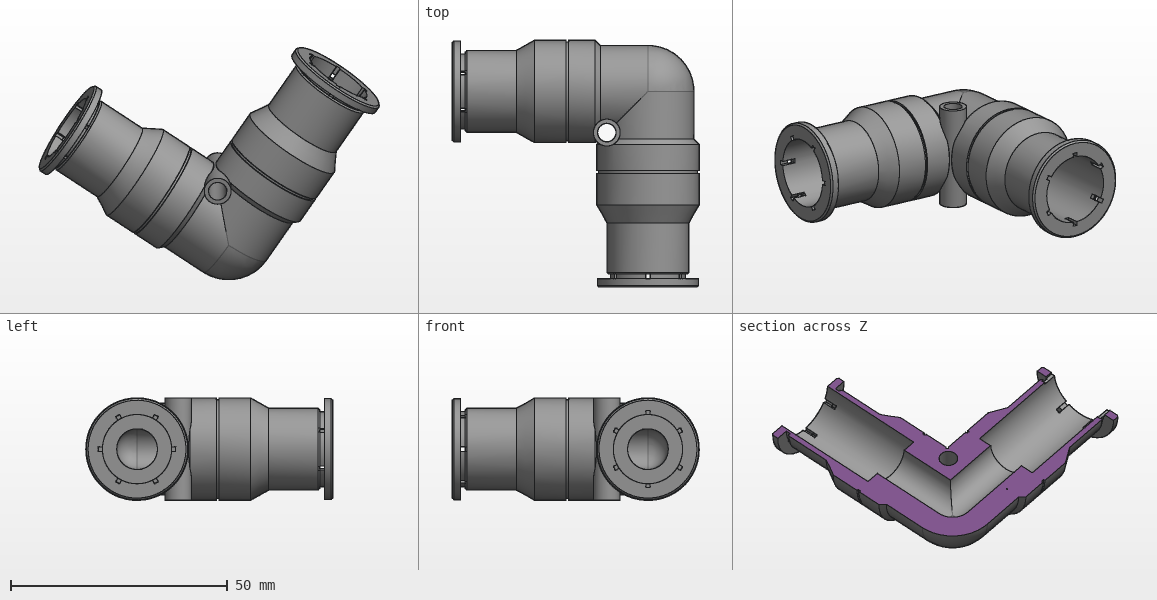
import cadquery as cq

corner_to_face = 45.2

flange_end = 1.95
sleeve_start = 3.0
cone_start = 14.8
cone_end = 19.0
groove_start = 26.3
groove_end = 26.9
collar_chamfer_start = 33.0
collar_end = 34.2

flange_diameter = 23.4
flange_chamfer = 0.4
neck_diameter = 17.4
sleeve_diameter = 18.96
sleeve_chamfer = 0.4
collar_diameter = 23.7
groove_depth = 0.4
elbow_diameter = collar_diameter - 2 * (collar_end - collar_chamfer_start)

socket_diameter = 16.0
socket_depth = groove_start
passage_diameter = 9.4

slot_count = 6
slot_width = 1.0
slot_outer_radius = 8.9
slot_depth = 3.4

post_diameter = 6.2
post_hole_diameter = 4.2
post_height = collar_diameter
post_offset = 9.5


def corner_body(diameter):
    """Two mitred cylinders from the corner to the collar ends, closed by a quarter ball outside."""
    length = corner_to_face - collar_end
    radius = diameter / 2
    x_leg = cq.Workplane("YZ").circle(radius).extrude(-length)
    y_leg = cq.Workplane("XZ").circle(radius).extrude(length)
    half_disc = cq.Workplane("XZ").moveTo(0, -radius).threePointArc((radius, 0), (0, radius)).close()
    quarter_ball = half_disc.revolve(90, (0, 0, 0), (0, 1, 0))
    return x_leg.union(y_leg).union(quarter_ball)


def arm_shell():
    """Solid of revolution of the -X arm: flange, neck, sleeve, cone and grooved collar."""
    flange_radius = flange_diameter / 2
    neck_radius = neck_diameter / 2
    sleeve_radius = sleeve_diameter / 2
    collar_radius = collar_diameter / 2
    groove_radius = collar_radius - groove_depth
    profile = [
        (0, 0),
        (0, flange_radius - flange_chamfer),
        (flange_chamfer, flange_radius),
        (flange_end, flange_radius),
        (flange_end, neck_radius),
        (sleeve_start, neck_radius),
        (sleeve_start, sleeve_radius - sleeve_chamfer),
        (sleeve_start + sleeve_chamfer, sleeve_radius),
        (cone_start, sleeve_radius),
        (cone_end, collar_radius),
        (groove_start, collar_radius),
        (groove_start, groove_radius),
        (groove_end, groove_radius),
        (groove_end, collar_radius),
        (collar_chamfer_start, collar_radius),
        (collar_end, elbow_diameter / 2),
        (collar_end, 0),
    ]
    shell = cq.Workplane("XY").polyline(profile).close().revolve(360, (0, 0, 0), (1, 0, 0))
    return shell.translate((-corner_to_face, 0, 0))


def arm_cavity():
    """Tube socket of the -X arm, its collet slots and the passage on to the corner."""
    face = cq.Workplane("YZ", origin=(-corner_to_face, 0, 0))
    cavity = face.circle(socket_diameter / 2).extrude(socket_depth)
    cavity = cavity.union(face.circle(passage_diameter / 2).extrude(corner_to_face))
    slot = (
        cq.Workplane("XY")
        .box(slot_depth, slot_outer_radius, slot_width, centered=(False, False, True))
        .translate((-corner_to_face, 0, 0))
    )
    for index in range(slot_count):
        cavity = cavity.union(slot.rotate((0, 0, 0), (1, 0, 0), index * 360 / slot_count))
    return cavity


def y_arm(x_arm):
    """The same arm along -Y, turned a quarter about its axis so two slots face up and down."""
    quarter_turn = 90
    rolled_arm = x_arm.rotate((0, 0, 0), (1, 0, 0), quarter_turn)
    return rolled_arm.rotate((0, 0, 0), (0, 0, 1), quarter_turn)


def post(diameter):
    """Vertical cylinder in the inside of the corner."""
    base = cq.Workplane("XY", origin=(-post_offset, -post_offset, -post_height / 2))
    return base.circle(diameter / 2).extrude(post_height)


shell = arm_shell()
cavity = arm_cavity()

result = (
    corner_body(elbow_diameter)
    .union(shell)
    .union(y_arm(shell))
    .union(post(post_diameter))
    .cut(corner_body(passage_diameter))
    .cut(cavity)
    .cut(y_arm(cavity))
    .cut(post(post_hole_diameter))
)